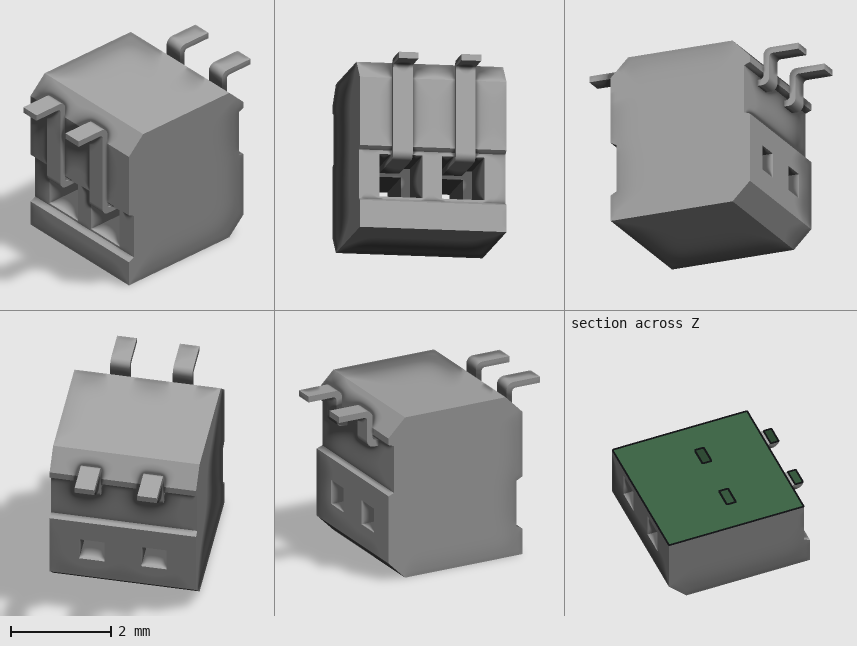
import cadquery as cq
import math

housing_width = 2.97
housing_height = 3.43
overall_depth = 4.57
foot_overhang = 0.765
housing_depth = overall_depth - 2 * foot_overhang
front_y = -housing_depth / 2
back_y = housing_depth / 2
edge_chamfer = 0.38

groove_depth = 0.13
front_lip_height = 0.55
front_groove_top = 1.665
front_groove_slope = 0.065
back_groove_bottom = 1.815
back_groove_top = 2.91
back_groove_slope = 0.045

contact_pitch = 1.27
contact_width = 0.398
strip_thickness = 0.13
bend_inner_radius = 0.075
bend_outer_radius = 0.15
front_entry_top = 1.52
back_entry_top = 2.78

entry_pitch = 1.255
pocket_size = 0.865
window_size = 0.51
pocket_top = front_entry_top
entry_centre_z = pocket_top - pocket_size / 2
pocket_floor_y = 0.0


def pair_positions(pitch):
    """X positions of two features placed symmetrically about the middle."""
    return (-pitch / 2, pitch / 2)


def round_bend(strip, x, before, corner, after):
    """Round the outer and inner edges of the right-angle bend at one (y, z) corner."""
    half_strip = strip_thickness / 2
    outward_y = math.copysign(half_strip, 2 * corner[0] - before[0] - after[0])
    outward_z = math.copysign(half_strip, 2 * corner[1] - before[1] - after[1])
    outer_edge_point = (x, corner[0] + outward_y, corner[1] + outward_z)
    inner_edge_point = (x, corner[0] - outward_y, corner[1] - outward_z)
    strip = strip.edges(cq.NearestToPointSelector(outer_edge_point)).fillet(bend_outer_radius)
    return strip.edges(cq.NearestToPointSelector(inner_edge_point)).fillet(bend_inner_radius)


def make_contact(x):
    """One strip: front foot, front leg, hidden riser, back leg and back foot."""
    half_strip = strip_thickness / 2
    foot_z = housing_height - half_strip
    front_leg_y = front_y - half_strip
    back_leg_y = back_y + half_strip
    front_entry_z = front_entry_top - half_strip
    back_entry_z = back_entry_top - half_strip
    riser_y = pocket_floor_y - half_strip
    centre_points = [
        (-overall_depth / 2, foot_z),
        (front_leg_y, foot_z),
        (front_leg_y, front_entry_z),
        (riser_y, front_entry_z),
        (riser_y, back_entry_z),
        (back_leg_y, back_entry_z),
        (back_leg_y, foot_z),
        (overall_depth / 2, foot_z),
    ]
    path = cq.Wire.makePolygon([cq.Vector(x, y, z) for y, z in centre_points])
    section = cq.Workplane("XZ", origin=(x, -overall_depth / 2, foot_z)).rect(contact_width, strip_thickness)
    strip = section.sweep(cq.Workplane(obj=path), transition="right")
    for before, corner, after in zip(centre_points, centre_points[1:], centre_points[2:]):
        strip = round_bend(strip, x, before, corner, after)
    return strip


def make_housing_block():
    """Chamfered side profile with both grooves, extruded over the full width."""
    front_floor_y = front_y + groove_depth
    back_floor_y = back_y - groove_depth
    profile = [
        (front_y, 0),
        (front_y, front_lip_height),
        (front_floor_y, front_lip_height + front_groove_slope),
        (front_floor_y, front_groove_top - front_groove_slope),
        (front_y, front_groove_top),
        (front_y, housing_height - edge_chamfer),
        (front_y + edge_chamfer, housing_height),
        (back_y - edge_chamfer, housing_height),
        (back_y, housing_height - edge_chamfer),
        (back_y, back_groove_top),
        (back_floor_y, back_groove_top - back_groove_slope),
        (back_floor_y, back_groove_bottom + back_groove_slope),
        (back_y, back_groove_bottom),
        (back_y, edge_chamfer),
        (back_y - edge_chamfer, 0),
    ]
    return cq.Workplane("YZ").polyline(profile).close().extrude(housing_width / 2, both=True)


def make_wire_entry(x):
    """Cutting shape for one front pocket and its through window."""
    pocket_depth = pocket_floor_y - front_y
    front_plane = cq.Workplane("XZ", origin=(x, front_y, entry_centre_z))
    pocket = front_plane.rect(pocket_size, pocket_size).extrude(-pocket_depth)
    window = front_plane.rect(window_size, window_size).extrude(-housing_depth)
    return pocket.union(window)


contacts = [make_contact(x) for x in pair_positions(contact_pitch)]

housing = make_housing_block()
for entry_x in pair_positions(entry_pitch):
    housing = housing.cut(make_wire_entry(entry_x))

for contact in contacts:
    housing = housing.cut(contact)

result = cq.Compound.makeCompound([
    housing.solids().val(),
    *[contact.solids().val() for contact in contacts],
])